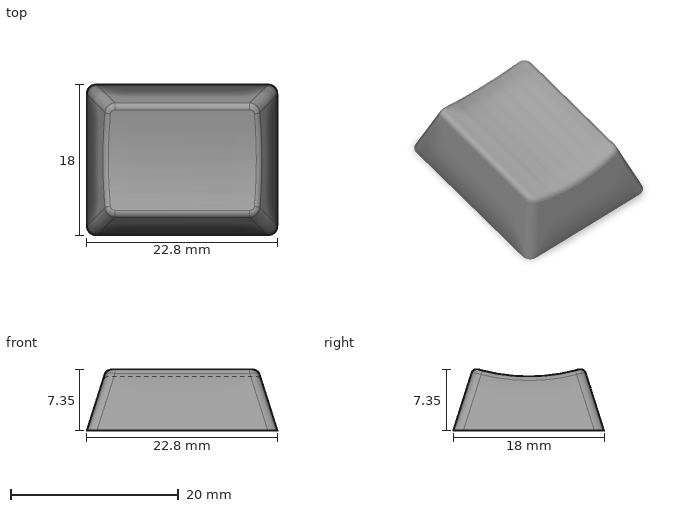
import cadquery as cq

base_length = 22.75
base_width = 18.0
wall_taper = 17.6
blank_height = 9.1

dish_radius = 21.85
dish_floor_height = 6.49

corner_radius = 1.23
rim_radius = 0.68


def tapered_blank():
    """Four-sided tapered block with rounded corner edges."""
    block = (
        cq.Workplane("XY")
        .rect(base_length, base_width)
        .extrude(blank_height, taper=wall_taper)
    )
    return block.edges("not #Z").fillet(corner_radius)


def dish_cutter():
    """Cylinder lying along X, resting on the dish floor."""
    axis_height = dish_floor_height + dish_radius
    return (
        cq.Workplane("YZ")
        .center(0, axis_height)
        .circle(dish_radius)
        .extrude(base_length, both=True)
    )


dished = tapered_blank().cut(dish_cutter())
result = dished.faces(">Z").edges().fillet(rim_radius)